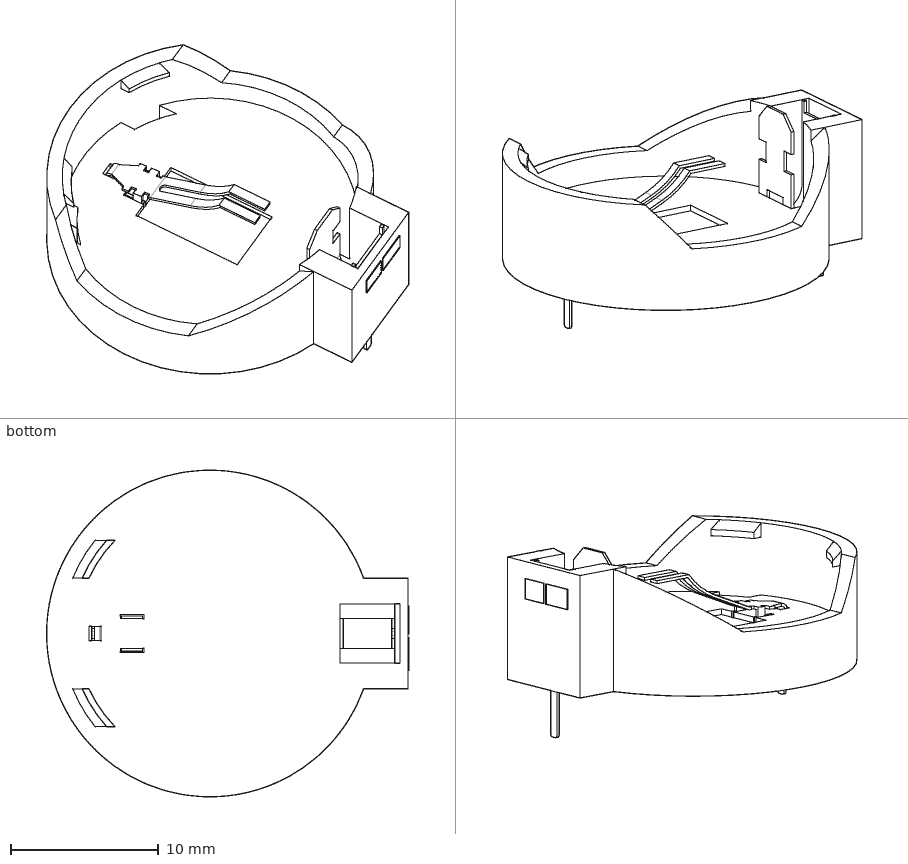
import cadquery as cq
import math

OUTER_RADIUS = 11.05
INNER_RADIUS = 10.0
FLOOR_TOP = 2.5
BACK_WALL_TOP = 7.5
FRONT_WALL_TOP = 4.35

DIP_LEFT_TOP_X = -7.15
DIP_LEFT_X = -4.45
DIP_RIGHT_X = 4.35

BLOCK_TOP = 8.5
BLOCK_HALF_WIDTH = 3.75
BLOCK_END_X = 13.4

PAD_SPANS = [(-1.86, 0.04), (0.27, 2.49)]
PAD_BOTTOM = 5.92
PAD_TOP = 7.33
PAD_HEIGHT = 0.06

LIP_Y_NEAR = 3.75
LIP_Y_FAR = 6.3
LIP_NOSE_RADIUS = 9.4
LIP_NOSE_TOP = 6.93
LIP_BOTTOM = 6.5
LIP_SLOT_RADIUS = 9.0

POCKET_LEFT_X = -4.47
POCKET_RIGHT_X = 3.5
POCKET_HALF_WIDTH = 2.3
POCKET_DEPTH = 0.4

LOWER_SHEET = 0.2
UPRIGHT_SHEET = 0.22
PIN_WIDTH = 0.65
PIN_TIP_Z = -3.5
PIN_TIP_RADIUS = 0.2

PIN_OUTER_X = -7.99
PIN_BEND_RADIUS = 0.57
PLATE_TILT = math.radians(6)
ARM_BEND = (-4.12, 3.25)
ARM_CURVE_START = (-0.96, 4.59)
ARM_KNEE = (1.29, 6.29)
ARM_TIP_X = 4.12

ARM_HALF_WIDTH = 1.0
ARM_SLIT_WIDTH = 0.6
ARM_SLIT_START_X = -3.95
PLATE_HALF_WIDTH = 1.2
PLATE_NECK_HALF_WIDTH = 0.78
PLATE_LEFT_X = -6.23
PLATE_TAPER_HALF_WIDTH = 0.98
PIN_ROOT_HALF_WIDTH = 0.48
PIN_ROOT_BOTTOM = 0.5
NOTCH_LEFT_SPAN = (-5.72, -5.34)
NOTCH_RIGHT_SPAN = (-4.7, -4.32)

LEG_SLIT_LEFT_X = -6.05
LEG_SLIT_RIGHT_X = POCKET_LEFT_X
LEG_SLIT_CLEARANCE = 0.08
LEG_INNER_Y = PLATE_HALF_WIDTH - LOWER_SHEET

PIN_HOLE_LEFT_X = -8.16
PIN_HOLE_RIGHT_X = -7.35

LEAF_FRONT_X = 8.81
LEAF_BACK_X = 12.51
LEAF_HALF_WIDTH = 2.0
LEAF_FRONT_TOP = 8.95
LEAF_FRONT_CHAMFER = 1.0
LEAF_BACK_TOP = 7.63
EAR_TOP = 8.44
EAR_WIDTH = 0.25
U_CENTRE_Z = 2.5
U_OUTER_RADIUS = (LEAF_BACK_X - LEAF_FRONT_X) / 2
U_CENTRE_X = (LEAF_BACK_X + LEAF_FRONT_X) / 2
U_SLOT_HALF_WIDTH = 1.0
U_SLOT_TOP = 3.0
SIDE_NOTCH_HALF_WIDTH = 1.1
SIDE_NOTCH_BOTTOM = 4.9
SIDE_NOTCH_TOP = 6.35
PIN_TAB_BOTTOM = 1.6
PIT_END_X = 12.84

SIDES = (-1, 1)


def box(x_span, y_span, z_span):
    """Axis-aligned box between the given limits."""
    size = [high - low for low, high in (x_span, y_span, z_span)]
    corner = (x_span[0], y_span[0], z_span[0])
    return cq.Workplane("XY").box(*size, centered=False).translate(corner)


def mirrored_span(low, high, side):
    """The Y span low..high on the +Y side, or its mirror image on the -Y side."""
    return (low, high) if side > 0 else (-high, -low)


def walled_cup():
    cup = cq.Workplane("XY").circle(OUTER_RADIUS).extrude(BLOCK_TOP)
    block_side_x = math.sqrt(OUTER_RADIUS**2 - BLOCK_HALF_WIDTH**2)
    above_wall = (
        cq.Workplane("XZ")
        .moveTo(-2 * OUTER_RADIUS, BACK_WALL_TOP)
        .lineTo(DIP_LEFT_TOP_X, BACK_WALL_TOP)
        .lineTo(DIP_LEFT_X, FRONT_WALL_TOP)
        .lineTo(DIP_RIGHT_X, FRONT_WALL_TOP)
        .lineTo(block_side_x, BLOCK_TOP)
        .lineTo(block_side_x, 2 * BLOCK_TOP)
        .lineTo(-2 * OUTER_RADIUS, 2 * BLOCK_TOP)
        .close()
        .extrude(2 * OUTER_RADIUS, both=True)
    )
    block = box((0, BLOCK_END_X), (-BLOCK_HALF_WIDTH, BLOCK_HALF_WIDTH), (0, BLOCK_TOP))
    bowl = cq.Workplane("XY").workplane(offset=FLOOR_TOP).circle(INNER_RADIUS).extrude(BLOCK_TOP)
    return cup.cut(above_wall).union(block).cut(bowl)


def lip(side):
    """Snap lip with a sloped top, running round the inside of the wall."""
    mid_wall_radius = (INNER_RADIUS + OUTER_RADIUS) / 2
    ring = (
        cq.Workplane("XZ")
        .moveTo(INNER_RADIUS, BACK_WALL_TOP)
        .lineTo(LIP_NOSE_RADIUS, LIP_NOSE_TOP)
        .lineTo(LIP_NOSE_RADIUS, LIP_BOTTOM)
        .lineTo(mid_wall_radius, LIP_BOTTOM)
        .lineTo(mid_wall_radius, BACK_WALL_TOP)
        .close()
        .revolve(360, (0, 0, 0), (0, 1, 0))
    )
    y_span = mirrored_span(LIP_Y_NEAR, LIP_Y_FAR, side)
    return ring.intersect(box((-OUTER_RADIUS, 0), y_span, (0, BLOCK_TOP)))


def lip_slot(side):
    ring = cq.Workplane("XY").circle(INNER_RADIUS).circle(LIP_SLOT_RADIUS).extrude(FLOOR_TOP)
    y_span = mirrored_span(LIP_Y_NEAR, LIP_Y_FAR, side)
    return ring.intersect(box((-OUTER_RADIUS, 0), y_span, (0, FLOOR_TOP)))


def leg_slit(side):
    y_span = mirrored_span(LEG_INNER_Y, PLATE_HALF_WIDTH + LEG_SLIT_CLEARANCE, side)
    return box((LEG_SLIT_LEFT_X, LEG_SLIT_RIGHT_X), y_span, (0, FLOOR_TOP))


def make_housing():
    housing = walled_cup()
    pocket_y = (-POCKET_HALF_WIDTH, POCKET_HALF_WIDTH)
    pocket_z = (FLOOR_TOP - POCKET_DEPTH, FLOOR_TOP)
    housing = housing.cut(box((POCKET_LEFT_X, POCKET_RIGHT_X), pocket_y, pocket_z))
    pin_hole_y = (-PIN_ROOT_HALF_WIDTH, PIN_ROOT_HALF_WIDTH)
    housing = housing.cut(box((PIN_HOLE_LEFT_X, PIN_HOLE_RIGHT_X), pin_hole_y, (0, FLOOR_TOP)))
    leaf_pit_y = (-LEAF_HALF_WIDTH, LEAF_HALF_WIDTH)
    housing = housing.cut(box((LEAF_FRONT_X, PIT_END_X), leaf_pit_y, (0, BLOCK_TOP)))
    for side in SIDES:
        housing = housing.union(lip(side)).cut(lip_slot(side)).cut(leg_slit(side))
    for pad_y in PAD_SPANS:
        pad_x = (BLOCK_END_X - PAD_HEIGHT, BLOCK_END_X + PAD_HEIGHT)
        housing = housing.union(box(pad_x, pad_y, (PAD_BOTTOM, PAD_TOP)))
    return housing


def pin(left_x, sheet, top_z):
    """Flat solder pin of a sheet thickness, its left face at left_x, with a rounded tip."""
    half = PIN_WIDTH / 2
    blade = box((left_x, left_x + sheet), (-half, half), (PIN_TIP_Z, top_z))
    return blade.edges("|X and <Z").fillet(PIN_TIP_RADIUS)


def below(point, angle_before, angle_after):
    """The point of the sheet's lower face under a point of its upper face, mitred at a bend."""
    middle = (angle_before + angle_after) / 2
    reach = LOWER_SHEET / math.cos((angle_after - angle_before) / 2)
    return (point[0] + reach * math.sin(middle), point[1] - reach * math.cos(middle))


def on_circle(centre, radius, angle):
    """Point of a circle at an angle measured from straight down, towards +X."""
    return (centre[0] + radius * math.sin(angle), centre[1] - radius * math.cos(angle))


def contact_side_profile():
    """Sheet bent from the pin over the tilted plate and up to the flat arm tips."""
    rise = math.atan2(ARM_CURVE_START[1] - ARM_BEND[1], ARM_CURVE_START[0] - ARM_BEND[0])
    chord_x = ARM_KNEE[0] - ARM_CURVE_START[0]
    chord_z = ARM_KNEE[1] - ARM_CURVE_START[1]
    chord_angle = math.atan2(chord_z, chord_x)
    knee_angle = 2 * chord_angle - rise
    curve_radius = math.hypot(chord_x, chord_z) / (2 * math.sin(chord_angle - rise))
    curve_centre = on_circle(ARM_CURVE_START, -curve_radius, rise)
    lower_radius = curve_radius + LOWER_SHEET
    lower_knee = below(ARM_KNEE, knee_angle, 0)
    lower_knee_angle = math.acos((curve_centre[1] - lower_knee[1]) / lower_radius)
    bend_x = PIN_OUTER_X + PIN_BEND_RADIUS
    plate_start_x = bend_x - PIN_BEND_RADIUS * math.sin(PLATE_TILT)
    plate_start_z = ARM_BEND[1] - (ARM_BEND[0] - plate_start_x) * math.tan(PLATE_TILT)
    bend_z = plate_start_z - PIN_BEND_RADIUS * math.cos(PLATE_TILT)
    bend_centre = (bend_x, bend_z)
    inner_bend_radius = PIN_BEND_RADIUS - LOWER_SHEET
    plate_start = PLATE_TILT + math.pi
    pin_side = 3 * math.pi / 2
    bend_middle = (plate_start + pin_side) / 2
    middle_angle = (rise + knee_angle) / 2
    lower_middle_angle = (rise + lower_knee_angle) / 2
    return (
        cq.Workplane("XZ")
        .moveTo(PIN_OUTER_X, PIN_ROOT_BOTTOM)
        .lineTo(PIN_OUTER_X, bend_z)
        .threePointArc(
            on_circle(bend_centre, PIN_BEND_RADIUS, bend_middle),
            on_circle(bend_centre, PIN_BEND_RADIUS, plate_start),
        )
        .lineTo(*ARM_BEND)
        .lineTo(*ARM_CURVE_START)
        .threePointArc(on_circle(curve_centre, curve_radius, middle_angle), ARM_KNEE)
        .lineTo(ARM_TIP_X, ARM_KNEE[1])
        .lineTo(ARM_TIP_X, ARM_KNEE[1] - LOWER_SHEET)
        .lineTo(*on_circle(curve_centre, lower_radius, lower_knee_angle))
        .threePointArc(
            on_circle(curve_centre, lower_radius, lower_middle_angle),
            below(ARM_CURVE_START, rise, rise),
        )
        .lineTo(*below(ARM_BEND, PLATE_TILT, rise))
        .lineTo(*on_circle(bend_centre, inner_bend_radius, plate_start))
        .threePointArc(
            on_circle(bend_centre, inner_bend_radius, bend_middle),
            (PIN_OUTER_X + LOWER_SHEET, bend_z),
        )
        .lineTo(PIN_OUTER_X + LOWER_SHEET, PIN_ROOT_BOTTOM)
        .close()
        .extrude(PLATE_HALF_WIDTH, both=True)
    )


def contact_plan():
    """Outline seen along Z: tapered root, notched plate, arms split by a round-ended slit."""
    taper_end_x = PIN_OUTER_X + PIN_BEND_RADIUS
    upper_edge = [
        (PIN_OUTER_X, PIN_ROOT_HALF_WIDTH),
        (taper_end_x, PIN_ROOT_HALF_WIDTH),
        (PLATE_LEFT_X, PLATE_TAPER_HALF_WIDTH),
        (PLATE_LEFT_X, PLATE_HALF_WIDTH),
    ]
    for notch_start, notch_end in (NOTCH_LEFT_SPAN, NOTCH_RIGHT_SPAN):
        upper_edge += [
            (notch_start, PLATE_HALF_WIDTH),
            (notch_start, PLATE_NECK_HALF_WIDTH),
            (notch_end, PLATE_NECK_HALF_WIDTH),
            (notch_end, PLATE_HALF_WIDTH),
        ]
    upper_edge[-1] = (NOTCH_RIGHT_SPAN[1], ARM_HALF_WIDTH)
    upper_edge.append((ARM_TIP_X, ARM_HALF_WIDTH))
    lower_edge = [(x, -y) for x, y in reversed(upper_edge)]
    outline = cq.Workplane("XY").polyline(upper_edge + lower_edge).close().extrude(BLOCK_TOP)
    slit_length = 2 * (ARM_TIP_X - ARM_SLIT_START_X)
    slit = cq.Workplane("XY").center(ARM_TIP_X, 0).slot2D(slit_length, ARM_SLIT_WIDTH)
    return outline.cut(slit.extrude(BLOCK_TOP))


def leg(side):
    """Barbed leg under a plate edge, with the short web that joins it to the plate."""
    leg_x = (LEG_SLIT_LEFT_X + LEG_SLIT_CLEARANCE, LEG_SLIT_RIGHT_X - LEG_SLIT_CLEARANCE)
    y_span = mirrored_span(LEG_INNER_Y, PLATE_HALF_WIDTH, side)
    web_x = (NOTCH_LEFT_SPAN[1], NOTCH_RIGHT_SPAN[0])
    web_top = ARM_BEND[1] - (ARM_BEND[0] - web_x[0]) * math.tan(PLATE_TILT) - LOWER_SHEET / 2
    return box(leg_x, y_span, (0, FLOOR_TOP)).union(box(web_x, y_span, (0, web_top)))


def make_lower_contact():
    contact = contact_side_profile().intersect(contact_plan())
    for side in SIDES:
        contact = contact.union(leg(side))
    return contact.union(pin(PIN_OUTER_X, LOWER_SHEET, PIN_ROOT_BOTTOM))


def bent_leaf():
    """U-shaped sheet: tall front leaf, round bottom, shorter back leaf."""
    inner_radius = U_OUTER_RADIUS - UPRIGHT_SHEET
    return (
        cq.Workplane("XZ")
        .moveTo(LEAF_FRONT_X, LEAF_FRONT_TOP)
        .lineTo(LEAF_FRONT_X, U_CENTRE_Z)
        .threePointArc((U_CENTRE_X, U_CENTRE_Z - U_OUTER_RADIUS), (LEAF_BACK_X, U_CENTRE_Z))
        .lineTo(LEAF_BACK_X, EAR_TOP)
        .lineTo(LEAF_BACK_X - UPRIGHT_SHEET, EAR_TOP)
        .lineTo(LEAF_BACK_X - UPRIGHT_SHEET, U_CENTRE_Z)
        .threePointArc(
            (U_CENTRE_X, U_CENTRE_Z - inner_radius),
            (LEAF_FRONT_X + UPRIGHT_SHEET, U_CENTRE_Z),
        )
        .lineTo(LEAF_FRONT_X + UPRIGHT_SHEET, LEAF_FRONT_TOP)
        .close()
        .extrude(LEAF_HALF_WIDTH, both=True)
        .edges("|X and >Z")
        .chamfer(LEAF_FRONT_CHAMFER)
    )


def make_upright_contact():
    contact = bent_leaf()
    back_x = (LEAF_BACK_X - UPRIGHT_SHEET, LEAF_BACK_X)
    slot_y = (-U_SLOT_HALF_WIDTH, U_SLOT_HALF_WIDTH)
    contact = contact.cut(box((LEAF_FRONT_X, LEAF_BACK_X), slot_y, (0, U_SLOT_TOP)))
    ear_inner_y = LEAF_HALF_WIDTH - EAR_WIDTH
    contact = contact.cut(box(back_x, (-ear_inner_y, ear_inner_y), (LEAF_BACK_TOP, EAR_TOP)))
    for side in SIDES:
        notch_y = mirrored_span(SIDE_NOTCH_HALF_WIDTH, LEAF_HALF_WIDTH, side)
        notch_x = (LEAF_FRONT_X, LEAF_FRONT_X + UPRIGHT_SHEET)
        contact = contact.cut(box(notch_x, notch_y, (SIDE_NOTCH_BOTTOM, SIDE_NOTCH_TOP)))
    contact = contact.union(box(back_x, slot_y, (PIN_TAB_BOTTOM, U_SLOT_TOP)))
    return contact.union(pin(back_x[0], UPRIGHT_SHEET, PIN_TAB_BOTTOM))


housing = make_housing()
lower_contact = make_lower_contact()
upright_contact = make_upright_contact()

bodies = [housing, lower_contact, upright_contact]
result = cq.Compound.makeCompound([body.solids().val() for body in bodies])